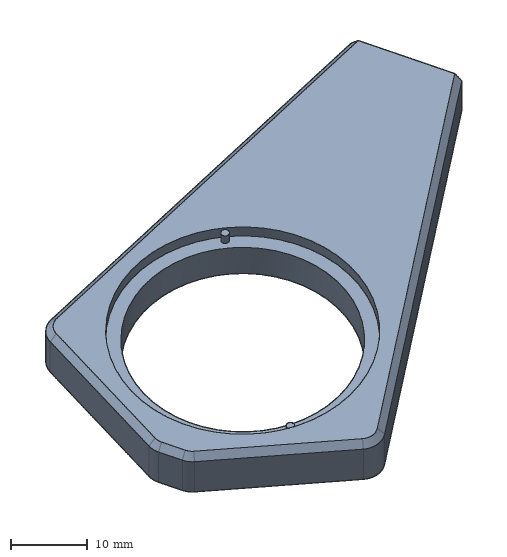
import cadquery as cq
import math

length = 74.4
thickness = 7.0
tip_distance = 22.8
back_y = length - tip_distance
side_distance = 21.0
flank_angle = 15.0
nose_angle = 30.0
corner_radius = 3.1
chamfer = 1.0

bore_diameter = 31.7
recess_diameter = 35.6
recess_depth = 1.8

nub_diameter = 1.1
nub_height = 1.5
nub_inset = 0.6
nub_center_radius = recess_diameter / 2 - nub_inset
nub_angles = (122.0, -44.5)


def outline_points():
    """Sharp corners of the symmetric outline, counterclockwise from the nose."""
    flank = math.radians(flank_angle)
    nose = math.radians(nose_angle)
    nose_x = (side_distance - tip_distance * math.cos(nose)) / math.sin(nose)
    back_x = (side_distance - back_y * math.sin(flank)) / math.cos(flank)

    nose_normal = nose - math.pi / 2
    half_turn = (flank - nose_normal) / 2
    shoulder_angle = (flank + nose_normal) / 2
    shoulder_radius = side_distance / math.cos(half_turn)
    shoulder_x = shoulder_radius * math.cos(shoulder_angle)
    shoulder_y = shoulder_radius * math.sin(shoulder_angle)

    right = [(nose_x, -tip_distance), (shoulder_x, shoulder_y), (back_x, back_y)]
    left = [(-x, y) for x, y in reversed(right)]
    return right + left


def make_plate():
    """Plate with rounded front corners and a chamfered top, except along the back."""
    plate = cq.Workplane("XY").polyline(outline_points()).close().extrude(thickness)
    plate = plate.edges("|Z").edges("not >Y").fillet(corner_radius)
    return plate.faces(">Z").edges("not >Y").chamfer(chamfer)


def cut_opening(plate):
    """Through bore with a wider shallow recess at the top."""
    recess_floor = thickness - recess_depth
    bore = cq.Workplane("XY").circle(bore_diameter / 2).extrude(thickness)
    recess = (
        cq.Workplane("XY")
        .workplane(offset=recess_floor)
        .circle(recess_diameter / 2)
        .extrude(recess_depth)
    )
    return plate.cut(bore).cut(recess)


def make_nub(angle):
    """Upright pin standing on the recess floor against its wall."""
    return (
        cq.Workplane("XY")
        .workplane(offset=thickness - recess_depth)
        .polarArray(nub_center_radius, angle, 360, 1)
        .circle(nub_diameter / 2)
        .extrude(nub_height)
    )


result = cut_opening(make_plate())
for nub_angle in nub_angles:
    result = result.union(make_nub(nub_angle))